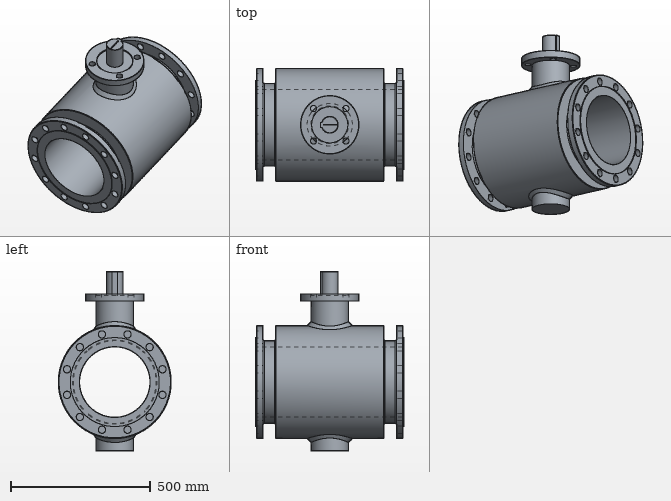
import cadquery as cq
import math

OVERALL_LENGTH = 533.0
BORE_DIA = 253.0
NECK_DIA = 298.0
BODY_DIA = 406.4
BODY_LENGTH = 390.0
BODY_EDGE_CHAMFER = 2.0

FLANGE_DIA = 405.0
FLANGE_THICKNESS = 26.0
FLANGE_EDGE_CHAMFER = 2.0
RAISED_FACE_DIA = 320.0
RAISED_FACE_HEIGHT = 3.0
FLANGE_BOLT_CIRCLE = 355.0
FLANGE_HOLE_DIA = 26.0
FLANGE_HOLE_COUNT = 12
FLANGE_WELD_LENGTH = 6.0
BODY_WELD_LENGTH = 4.0
NECK_WELD_HEIGHT = 2.5

OVERALL_HEIGHT = 644.5
STEM_TOP = 397.0
HOUSING_DIA = 135.0
HOUSING_BOTTOM = STEM_TOP - OVERALL_HEIGHT
SADDLE_WELD = 14.0
WELD_OVERLAP = 0.1
WELD_CURVE_POINTS = 24

STEM_LENGTH = 80.0
MOUNT_TOP = STEM_TOP - STEM_LENGTH
MOUNT_DIA = 210.0
MOUNT_THICKNESS = 26.0
MOUNT_EDGE_CHAMFER = 1.0
MOUNT_RECESS_DIA = 130.0
MOUNT_RECESS_DEPTH = 5.0
MOUNT_BOLT_CIRCLE = 165.0
MOUNT_HOLE_DIA = 22.0
MOUNT_HOLE_COUNT = 4

STEM_DIA = 60.0
STEM_EDGE_CHAMFER = 1.0
KEY_WIDTH = 18.0
KEY_REACH = 34.0
GROOVE_WIDTH = 2.0
GROOVE_DEPTH = 2.0
GROOVE_START = -22.0


def cylinder_z(diameter, bottom, top):
    return cq.Workplane("XY").workplane(offset=bottom).circle(diameter / 2).extrude(top - bottom)


def make_run():
    """Solid of revolution about X: raised faces, flanges, necks and body, symmetric about X = 0."""
    end = OVERALL_LENGTH / 2
    flange_front = end - RAISED_FACE_HEIGHT
    flange_back = end - FLANGE_THICKNESS
    body_end = BODY_LENGTH / 2
    neck_radius = NECK_DIA / 2
    weld_radius = neck_radius + NECK_WELD_HEIGHT
    flange_radius = FLANGE_DIA / 2
    body_radius = BODY_DIA / 2
    half_profile = [
        (end, 0),
        (end, RAISED_FACE_DIA / 2),
        (flange_front, RAISED_FACE_DIA / 2),
        (flange_front, flange_radius - FLANGE_EDGE_CHAMFER),
        (flange_front - FLANGE_EDGE_CHAMFER, flange_radius),
        (flange_back, flange_radius),
        (flange_back, weld_radius),
        (flange_back - FLANGE_WELD_LENGTH, neck_radius),
        (body_end + BODY_WELD_LENGTH, neck_radius),
        (body_end, weld_radius),
        (body_end, body_radius - BODY_EDGE_CHAMFER),
        (body_end - BODY_EDGE_CHAMFER, body_radius),
    ]
    mirrored_profile = [(-x, radius) for x, radius in reversed(half_profile)]
    profile = cq.Workplane("XZ").polyline(half_profile + mirrored_profile).close()
    return profile.revolve(360, (0, 0, 0), (1, 0, 0))


def weld_curve(point_at):
    """Closed smooth curve around the Z axis through points given by a function of the angle."""
    angles = [2 * math.pi * i / WELD_CURVE_POINTS for i in range(WELD_CURVE_POINTS)]
    return cq.Edge.makeSpline([cq.Vector(*point_at(angle)) for angle in angles], periodic=True)


def make_saddle_weld():
    """Bevelled weld ring around the upper housing joint.

    Its legs end where a ball of radius SADDLE_WELD, rolled along the joint, touches housing and body.
    The bevel is prolonged a little at both ends so that it sinks into both cylinders.
    """
    housing_radius = HOUSING_DIA / 2
    body_radius = BODY_DIA / 2

    def bevel_ends(angle):
        ball_reach = housing_radius + SADDLE_WELD
        ball_x = ball_reach * math.cos(angle)
        ball_y = ball_reach * math.sin(angle)
        ball_z = math.sqrt((body_radius + SADDLE_WELD) ** 2 - ball_y**2)
        toward_housing = housing_radius / ball_reach
        toward_body = body_radius / (body_radius + SADDLE_WELD)
        upper = cq.Vector(ball_x * toward_housing, ball_y * toward_housing, ball_z)
        lower = cq.Vector(ball_x, ball_y * toward_body, ball_z * toward_body)
        return upper, lower

    def upper_point(angle):
        upper, lower = bevel_ends(angle)
        return (upper + (upper - lower) * WELD_OVERLAP).toTuple()

    def lower_point(angle):
        upper, lower = bevel_ends(angle)
        return (lower + (lower - upper) * WELD_OVERLAP).toTuple()

    def root_point(angle):
        upper, lower = bevel_ends(angle)
        inward = 1 - SADDLE_WELD / housing_radius
        return upper.x * inward, upper.y * inward, lower.z - SADDLE_WELD

    upper_edge = weld_curve(upper_point)
    lower_edge = weld_curve(lower_point)
    root_edge = weld_curve(root_point)
    sides = [
        cq.Face.makeRuledSurface(upper_edge, lower_edge),
        cq.Face.makeRuledSurface(lower_edge, root_edge),
        cq.Face.makeRuledSurface(root_edge, upper_edge),
    ]
    return cq.Workplane(cq.Solid.makeSolid(cq.Shell.makeShell(sides)).fix())


def add_housing(run):
    """Stem housing through the body, with a weld ring around its upper and lower joints."""
    housing = cylinder_z(HOUSING_DIA, HOUSING_BOTTOM, MOUNT_TOP - MOUNT_THICKNESS)
    weld = make_saddle_weld()
    return run.union(housing).union(weld).union(weld.mirror("XY"))


def make_mount():
    plate = cylinder_z(MOUNT_DIA, MOUNT_TOP - MOUNT_THICKNESS, MOUNT_TOP)
    plate = plate.faces("<Z or >Z").edges().chamfer(MOUNT_EDGE_CHAMFER)
    recess = cylinder_z(MOUNT_RECESS_DIA, MOUNT_TOP - MOUNT_RECESS_DEPTH, MOUNT_TOP)
    holes = (
        cq.Workplane("XY")
        .workplane(offset=MOUNT_TOP - MOUNT_THICKNESS)
        .polarArray(MOUNT_BOLT_CIRCLE / 2, 180 / MOUNT_HOLE_COUNT, 360, MOUNT_HOLE_COUNT)
        .circle(MOUNT_HOLE_DIA / 2)
        .extrude(MOUNT_THICKNESS)
    )
    return plate.cut(recess).cut(holes)


def make_stem():
    """Stem standing on the recess floor, with a key toward -X and a groove in its top toward +X."""
    foot = MOUNT_TOP - MOUNT_RECESS_DEPTH
    stem = cylinder_z(STEM_DIA, foot, STEM_TOP).faces(">Z").edges().chamfer(STEM_EDGE_CHAMFER)
    key = cq.Workplane("XY").box(KEY_REACH, KEY_WIDTH, STEM_TOP - foot, centered=(False, True, False))
    groove = cq.Workplane("XY").box(
        STEM_DIA / 2 - GROOVE_START, GROOVE_WIDTH, GROOVE_DEPTH, centered=(False, True, False)
    )
    stem = stem.union(key.translate((-KEY_REACH, 0, foot)))
    return stem.cut(groove.translate((GROOVE_START, 0, STEM_TOP - GROOVE_DEPTH)))


def make_bore():
    return cq.Workplane("YZ").circle(BORE_DIA / 2).extrude(OVERALL_LENGTH / 2, both=True)


def make_flange_holes():
    """Bolt holes of one end flange; no hole lies on the vertical or horizontal centre line."""
    return (
        cq.Workplane("YZ")
        .workplane(offset=OVERALL_LENGTH / 2 - FLANGE_THICKNESS)
        .polarArray(FLANGE_BOLT_CIRCLE / 2, 180 / FLANGE_HOLE_COUNT, 360, FLANGE_HOLE_COUNT)
        .circle(FLANGE_HOLE_DIA / 2)
        .extrude(FLANGE_THICKNESS)
    )


valve = add_housing(make_run()).union(make_mount()).union(make_stem())
flange_holes = make_flange_holes()
result = valve.cut(make_bore()).cut(flange_holes).cut(flange_holes.mirror("YZ"))